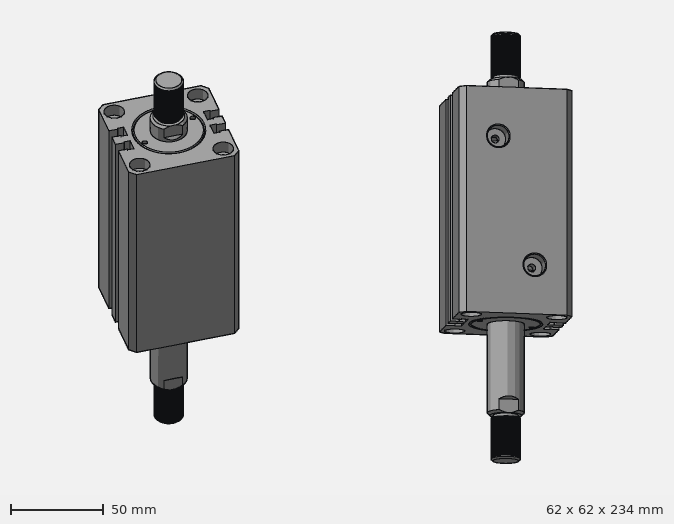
import cadquery as cq
import math

BODY_SIZE = 62.0
BODY_LENGTH = 124.0
CORNER_CHAMFER = 3.4
STROKE = 40.0

HOLE_PITCH = 47.0
HOLE_DIAMETER = 6.6
COUNTERBORE_DIAMETER = 11.0
COUNTERBORE_DEPTH = 7.0

SLOT_OFFSET = 6.0
SLOT_MOUTH_WIDTH = 5.6
SLOT_FLOOR_WIDTH = 7.0
SLOT_LIP = 5.0
SLOT_DEPTH = 8.5

BORE_DIAMETER = 38.5
BORE_CHAMFER = 0.7
COVER_CHAMFER = 0.6
PORT_OFFSET = 10.0
PORT_END_DISTANCE = 27.0
PORT_MOUTH_DIAMETER = 13.0
PORT_CHAMFER = 0.6
PORT_FLOOR_DIAMETER = 11.4
PORT_DEPTH = 9.0
PASSAGE_DIAMETER = 4.2

ROD_DIAMETER = 20.0
ROD_CHAMFER = 1.4
ROD_TOP_PROJECTION = 10.0
ROD_BOTTOM_PROJECTION = ROD_TOP_PROJECTION + STROKE
FLATS_WIDTH = 17.0
FLATS_LENGTH = 8.8
THREAD_DIAMETER = 16.0
THREAD_PITCH = 1.0
THREAD_DEPTH = 0.6
THREAD_CREST = 0.4
THREAD_ROOT = 0.2
THREAD_END_CHAMFER = 1.0
NECK_DIAMETER = 13.5
NECK_LENGTH = 1.75
STUD_LENGTH = 25.0

COVER_LENGTH = 25.0
PISTON_CHAMFER = 2.0
SPANNER_HOLE_RADIUS = 16.6
SPANNER_HOLE_ANGLE = 112.0
SPANNER_HOLE_DIAMETER = 2.8
SPANNER_HOLE_DEPTH = 2.0
DRILL_POINT_ANGLE = 118.0

BODY_HALF = BODY_SIZE / 2
ROD_RADIUS = ROD_DIAMETER / 2
BORE_RADIUS = BORE_DIAMETER / 2
PISTON_BOTTOM = COVER_LENGTH
PISTON_TOP = BODY_LENGTH - COVER_LENGTH - STROKE


def slot_cutter(x_center, y_side):
    floor_height = SLOT_DEPTH - SLOT_LIP
    mouth_y = y_side * (BODY_HALF - SLOT_DEPTH / 2)
    floor_y = y_side * (BODY_HALF - SLOT_LIP - floor_height / 2)
    mouth = cq.Workplane("XY").center(x_center, mouth_y).rect(SLOT_MOUTH_WIDTH, SLOT_DEPTH)
    floor = cq.Workplane("XY").center(x_center, floor_y).rect(SLOT_FLOOR_WIDTH, floor_height)
    return mouth.extrude(BODY_LENGTH).union(floor.extrude(BODY_LENGTH))


def port_cutter(y, z):
    """Port in the -X face: chamfered rim, tapered wall and a small passage into the bore."""
    face = cq.Workplane("YZ", origin=(-BODY_HALF, y, z))
    rim = face.circle(PORT_MOUTH_DIAMETER / 2).workplane(offset=PORT_CHAMFER)
    rim = rim.circle(PORT_MOUTH_DIAMETER / 2 - PORT_CHAMFER).loft(ruled=True)
    wall = face.workplane(offset=PORT_CHAMFER).circle(PORT_MOUTH_DIAMETER / 2 - PORT_CHAMFER)
    wall = wall.workplane(offset=PORT_DEPTH - PORT_CHAMFER).circle(PORT_FLOOR_DIAMETER / 2).loft(ruled=True)
    passage = face.circle(PASSAGE_DIAMETER / 2).extrude(BODY_HALF - ROD_RADIUS)
    return rim.union(wall).union(passage)


def make_housing():
    body = cq.Workplane("XY").rect(BODY_SIZE, BODY_SIZE).extrude(BODY_LENGTH)
    body = body.edges("|Z").chamfer(CORNER_CHAMFER)
    body = body.faces(">Z").workplane().circle(BORE_RADIUS).cutThruAll()
    body = body.edges("%CIRCLE").chamfer(BORE_CHAMFER)
    for side in (">Z", "<Z"):
        end_face = body.faces(side).workplane(origin=(0, 0, 0))
        corners = end_face.rect(HOLE_PITCH, HOLE_PITCH, forConstruction=True).vertices()
        body = corners.cboreHole(HOLE_DIAMETER, COUNTERBORE_DIAMETER, COUNTERBORE_DEPTH)
    for x_center in (-SLOT_OFFSET, SLOT_OFFSET):
        for y_side in (-1, 1):
            body = body.cut(slot_cutter(x_center, y_side))
    body = body.cut(port_cutter(PORT_OFFSET, BODY_LENGTH - PORT_END_DISTANCE))
    return body.cut(port_cutter(-PORT_OFFSET, PORT_END_DISTANCE))


def make_cover():
    """Rod cover for the upper end, with two spanner holes in its outer face."""
    cover = cq.Workplane("XY", origin=(0, 0, BODY_LENGTH)).circle(BORE_RADIUS).circle(ROD_RADIUS)
    cover = cover.extrude(-COVER_LENGTH)
    outer_rim = cq.selectors.RadiusNthSelector(1)
    cover = cover.faces(">Z").edges(outer_rim).chamfer(COVER_CHAMFER)
    radius = SPANNER_HOLE_DIAMETER / 2
    point_depth = SPANNER_HOLE_DEPTH + radius / math.tan(math.radians(DRILL_POINT_ANGLE / 2))
    outline = [(0, 0), (radius, 0), (radius, -SPANNER_HOLE_DEPTH), (0, -point_depth)]
    drill = cq.Workplane("XZ").polyline(outline).close().revolve(360, (0, 0), (0, 1))
    drill = drill.translate((SPANNER_HOLE_RADIUS, 0, BODY_LENGTH))
    for angle in (SPANNER_HOLE_ANGLE, SPANNER_HOLE_ANGLE + 180):
        cover = cover.cut(drill.rotate((0, 0, 0), (0, 0, 1), angle))
    return cover


def stud_profile():
    """Half outline (radius, height) of a neck and thread, measured up from the rod shoulder."""
    major = THREAD_DIAMETER / 2
    points = [(NECK_DIAMETER / 2, 0), (NECK_DIAMETER / 2, NECK_LENGTH), (major, NECK_LENGTH)]
    thread_end = STUD_LENGTH - THREAD_END_CHAMFER
    groove_count = math.floor((thread_end - NECK_LENGTH) / THREAD_PITCH)
    for groove in range(groove_count):
        start = NECK_LENGTH + groove * THREAD_PITCH
        root_start = start + (THREAD_PITCH - THREAD_CREST - THREAD_ROOT) / 2
        points.append((major - THREAD_DEPTH, root_start))
        points.append((major - THREAD_DEPTH, root_start + THREAD_ROOT))
        points.append((major, start + THREAD_PITCH - THREAD_CREST))
        points.append((major, start + THREAD_PITCH))
    points += [(major, thread_end), (major - THREAD_END_CHAMFER, STUD_LENGTH)]
    return points


def flats_cutter(shoulder):
    """Two cuts with sloped ends that leave wrench flats below the rod shoulder."""
    half = FLATS_WIDTH / 2
    flats_end = shoulder - FLATS_LENGTH
    outline = [
        (half, shoulder),
        (half, flats_end + ROD_RADIUS - half),
        (ROD_RADIUS, flats_end),
        (ROD_RADIUS, shoulder),
    ]
    cutter = cq.Workplane("XZ").polyline(outline).close().extrude(ROD_RADIUS, both=True)
    return cutter.union(cutter.mirror("YZ"))


def make_rod(shaft_length):
    """Rod standing on Z = 0 with its threaded stud on top."""
    outline = [
        (0, 0),
        (ROD_RADIUS, 0),
        (ROD_RADIUS, shaft_length - ROD_CHAMFER),
        (ROD_RADIUS - ROD_CHAMFER, shaft_length),
    ]
    outline += [(radius, shaft_length + height) for radius, height in stud_profile()]
    outline.append((0, shaft_length + STUD_LENGTH))
    turned = [(-radius, height) for radius, height in outline]
    rod = cq.Workplane("XZ").polyline(turned).close().revolve(360, (0, 0), (0, 1))
    return rod.cut(flats_cutter(shaft_length))


def make_piston():
    piston = cq.Workplane("XY", origin=(0, 0, PISTON_BOTTOM)).circle(BORE_RADIUS)
    piston = piston.extrude(PISTON_TOP - PISTON_BOTTOM)
    return piston.faces("<Z or >Z").edges().chamfer(PISTON_CHAMFER)


housing = make_housing()
upper_cover = make_cover()
lower_cover = upper_cover.mirror("XY").translate((0, 0, BODY_LENGTH))
piston = make_piston()

upper_rod = make_rod(BODY_LENGTH + ROD_TOP_PROJECTION - PISTON_TOP)
upper_rod = upper_rod.translate((0, 0, PISTON_TOP))
lower_rod = make_rod(ROD_BOTTOM_PROJECTION + PISTON_BOTTOM)
lower_rod = lower_rod.rotate((0, 0, 0), (1, 0, 0), 180).translate((0, 0, PISTON_BOTTOM))

bodies = [housing, upper_cover, lower_cover, piston, upper_rod, lower_rod]
result = cq.Compound.makeCompound([body.val() for body in bodies])